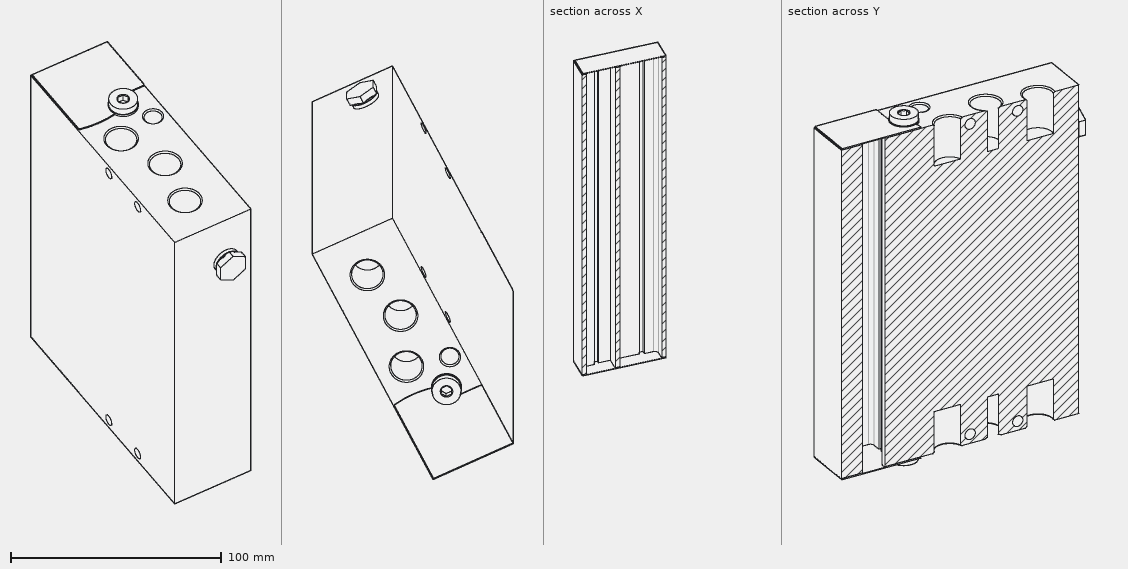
import cadquery as cq
import math

length = 130.7
depth = 42.5
overall_height = 186.7
screw_projection = 4.7
end_face = overall_height / 2 - screw_projection

large_bore = 15.0
small_bore = 8.5
ports = [
    (58.5, 14.5, large_bore),
    (83.5, 23.7, large_bore),
    (109.4, 18.9, large_bore),
    (53.8, 35.3, small_bore),
]
port_depth = 22.4
port_chamfer = 0.7

cross_hole_diameter = 5.5
cross_hole_positions = (71.0, 97.0)
cross_hole_inset = 5.0

channel_left = 5.8
channel_bottom = 2.5
channel_top = 40.3
upper_right = 30.6
lower_right = 39.0
neck_left = 12.0
neck_right = 23.9
neck_bottom = 16.8
neck_top = 19.5
channel_corner_radius = 1.9
relief_left = 5.2
groove_left = 4.0
groove_height = 2.2
groove_overrun = 1.5
lower_groove_y = 9.7
upper_groove_y = 32.7

cover_thickness = 0.7
cover_inset = 0.5
cover_back_right = 34.4
cover_front_right = 43.1
cover_bulge = 1.1
cover_bulge_top = 21.5
cover_corner_radius = 0.7

screw_x = 40.3
screw_y = 26.9
collar_diameter = 14.4
collar_height = 1.1
head_diameter = 13.8
socket_flats = 4.9
socket_depth = 3.7
countersink_diameter = 6.0
countersink_depth = 0.4

fitting_y = 28.5
fitting_z = 61.6
flange_diameter = 13.5
flange_length = 1.9
neck_diameter = 12.9
neck_length = 1.0
hex_flats = 14.0
hex_length = 3.7


def corner_diameter(flats):
    """Diameter across the corners of a hexagon with the given width across flats."""
    return flats / math.cos(math.pi / 6)


def with_mirror(shape):
    """The shape together with its mirror image at the other end of the housing."""
    return [shape, shape.mirror("XY")]


def make_port(x, y, bore):
    face = cq.Workplane("XY", origin=(x, y, end_face))
    mouth_radius = bore / 2 + port_chamfer
    mouth = cq.Solid.makeCone(
        mouth_radius, bore / 2, port_chamfer, cq.Vector(x, y, end_face), cq.Vector(0, 0, -1)
    )
    return face.circle(bore / 2).extrude(-port_depth).union(cq.Workplane(mouth))


def make_channel():
    def block(x0, x1, y0, y1):
        base = cq.Workplane("XY", origin=((x0 + x1) / 2, (y0 + y1) / 2, 0))
        return base.rect(x1 - x0, y1 - y0).extrude(end_face, both=True)

    upper = block(channel_left, upper_right, neck_top, channel_top)
    channel = upper.edges("|Z and >Y").fillet(channel_corner_radius)
    channel = channel.union(block(channel_left, lower_right, channel_bottom, neck_bottom))
    channel = channel.union(block(neck_left, neck_right, neck_bottom, neck_top))
    channel = channel.union(block(relief_left, channel_left, neck_top, upper_groove_y))
    channel = channel.union(block(relief_left, channel_left, lower_groove_y, neck_bottom))
    for groove_y, right_wall in ((lower_groove_y, lower_right), (upper_groove_y, upper_right)):
        groove_bottom = groove_y - groove_height / 2
        groove = block(
            groove_left, right_wall + groove_overrun, groove_bottom, groove_bottom + groove_height
        )
        channel = channel.union(groove)
    return channel


def make_housing():
    housing = cq.Workplane("XY").box(length, depth, 2 * end_face, centered=(False, False, True))
    housing = housing.cut(make_channel())
    for x, y, bore in ports:
        for port in with_mirror(make_port(x, y, bore)):
            housing = housing.cut(port)
    for x in cross_hole_positions:
        hole = (
            cq.Workplane("XZ", origin=(x, 0, end_face - cross_hole_inset))
            .circle(cross_hole_diameter / 2)
            .extrude(-depth)
        )
        for cross_hole in with_mirror(hole):
            housing = housing.cut(cross_hole)
    return housing


def make_screw():
    base = cq.Workplane("XY", origin=(screw_x, screw_y, end_face))
    collar = base.circle(collar_diameter / 2).extrude(collar_height)
    head = base.circle(head_diameter / 2).extrude(screw_projection)
    socket = (
        base.workplane(offset=screw_projection)
        .transformed(rotate=(0, 0, 90))
        .polygon(6, corner_diameter(socket_flats))
        .extrude(-socket_depth)
    )
    countersink = cq.Solid.makeCone(
        countersink_diameter / 2,
        socket_flats / 2,
        countersink_depth,
        cq.Vector(screw_x, screw_y, end_face + screw_projection),
        cq.Vector(0, 0, -1),
    )
    return collar.union(head).cut(socket).cut(cq.Workplane(countersink))


def make_cover():
    """Thin plate closing the channel at the upper end, in one piece with its screw."""
    bulge_middle = (cover_inset + cover_bulge_top) / 2
    plate = (
        cq.Workplane("XY", origin=(0, 0, end_face))
        .moveTo(cover_inset, cover_inset)
        .lineTo(cover_front_right, cover_inset)
        .threePointArc(
            (cover_front_right + cover_bulge, bulge_middle), (cover_front_right, cover_bulge_top)
        )
        .lineTo(cover_back_right, screw_y)
        .lineTo(cover_back_right, depth)
        .lineTo(cover_inset, depth)
        .close()
        .extrude(cover_thickness)
    )
    for corner_x, corner_y in ((cover_front_right, cover_inset), (cover_back_right, depth)):
        corner = cq.selectors.NearestToPointSelector((corner_x, corner_y, end_face))
        plate = plate.edges("|Z").edges(corner).fillet(cover_corner_radius)
    return plate.union(make_screw())


def make_fitting():
    """Round flange, neck and hexagon, with two hexagon corners pointing along Z."""
    base = cq.Workplane("YZ", origin=(length, fitting_y, fitting_z))
    flange = base.circle(flange_diameter / 2).extrude(flange_length)
    neck = base.workplane(offset=flange_length).circle(neck_diameter / 2).extrude(neck_length)
    hexagon = (
        base.workplane(offset=flange_length + neck_length)
        .transformed(rotate=(0, 0, 90))
        .polygon(6, corner_diameter(hex_flats))
        .extrude(hex_length)
    )
    return flange.union(neck).union(hexagon)


housing = make_housing()
covers = with_mirror(make_cover())
fitting = make_fitting()

result = cq.Compound.makeCompound([housing.val(), *[cover.val() for cover in covers], fitting.val()])